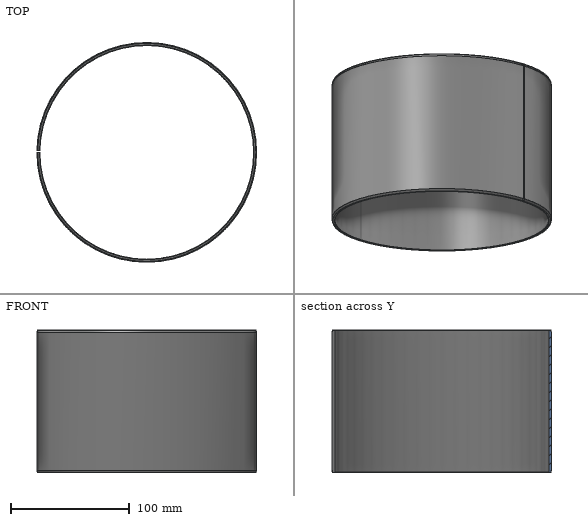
import cadquery as cq

outer_diameter = 185.0
inner_diameter = 180.0
height = 120.0
outer_bevel_height = 1.8
outer_bevel_depth = 0.67
inner_chamfer = 0.4
slit_width = 1.5

outer_radius = outer_diameter / 2
inner_radius = inner_diameter / 2
end_outer_radius = outer_radius - outer_bevel_depth
end_inner_radius = inner_radius + inner_chamfer


def sleeve():
    """Full ring, revolved from the wall section about Z."""
    section = [
        (end_inner_radius, 0),
        (end_outer_radius, 0),
        (outer_radius, outer_bevel_height),
        (outer_radius, height - outer_bevel_height),
        (end_outer_radius, height),
        (end_inner_radius, height),
        (inner_radius, height - inner_chamfer),
        (inner_radius, inner_chamfer),
    ]
    return cq.Workplane("XZ").polyline(section).close().revolve(360, (0, 0), (0, 1))


def slit():
    """Full-height cutter through the -X wall, with one face on the XZ plane."""
    cutter = cq.Workplane("XY").box(outer_radius, slit_width, height, centered=False)
    return cutter.translate((-outer_radius, 0, 0))


result = sleeve().cut(slit())